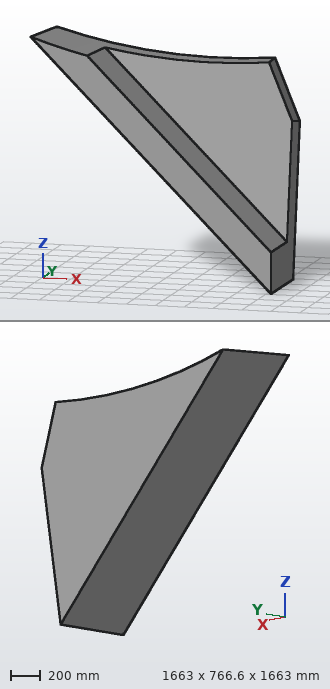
import cadquery as cq
import math

SIZE = 1663.0
DEPTH = 767.0
FLANGE_WIDTH = 560.0
THICKNESS = 200.0
WEB_LEAN = math.radians(12.9)
WEB_LENGTH = 1330.0

TOP_START = (0.0, SIZE)
TOP_MIDDLE = (1104.0, 1460.0)
TIP = (1536.0, 1467.0)
END_CORNER = (1736.0, 1006.0)

TRIM_DRIFT_X = -0.074
TRIM_DRIFT_Z = -0.01
MARGIN = 333.0


def angle_section():
    """Bent plate section, swept parallel to the 45 degree outer face."""
    section_plane = cq.Plane(origin=(0, 0, SIZE), xDir=(1, 0, 1), normal=(-1, 0, 1))
    rise = WEB_LENGTH * math.tan(WEB_LEAN)
    web_offset = THICKNESS / math.cos(WEB_LEAN)
    inner_bend = FLANGE_WIDTH + THICKNESS * math.tan(WEB_LEAN) - web_offset
    return (
        cq.Workplane(section_plane)
        .moveTo(0, 0)
        .lineTo(0, FLANGE_WIDTH)
        .lineTo(WEB_LENGTH, FLANGE_WIDTH + rise)
        .lineTo(WEB_LENGTH, FLANGE_WIDTH + rise - web_offset)
        .lineTo(THICKNESS, inner_bend)
        .lineTo(THICKNESS, 0)
        .close()
        .extrude(2 * SIZE, both=True)
    )


def trim_volume():
    """Oblique prism carrying the curved top edge and the short end edge."""
    outline = (
        cq.Workplane("XZ")
        .moveTo(*TOP_START)
        .threePointArc(TOP_MIDDLE, TIP)
        .lineTo(*END_CORNER)
        .lineTo(SIZE + MARGIN, END_CORNER[1])
        .lineTo(SIZE + MARGIN, -MARGIN)
        .lineTo(-MARGIN, -MARGIN)
        .lineTo(-MARGIN, SIZE)
        .close()
    )
    length = DEPTH + MARGIN
    sweep = cq.Vector(TRIM_DRIFT_X * length, length, TRIM_DRIFT_Z * length)
    return cq.Workplane(cq.Solid.extrudeLinear(outline.val(), [], sweep))


def side_limit():
    """Block whose +X face cuts the part off square."""
    return cq.Workplane("XY").box(2 * SIZE, 2 * SIZE, 4 * SIZE)


result = angle_section().intersect(trim_volume()).intersect(side_limit())